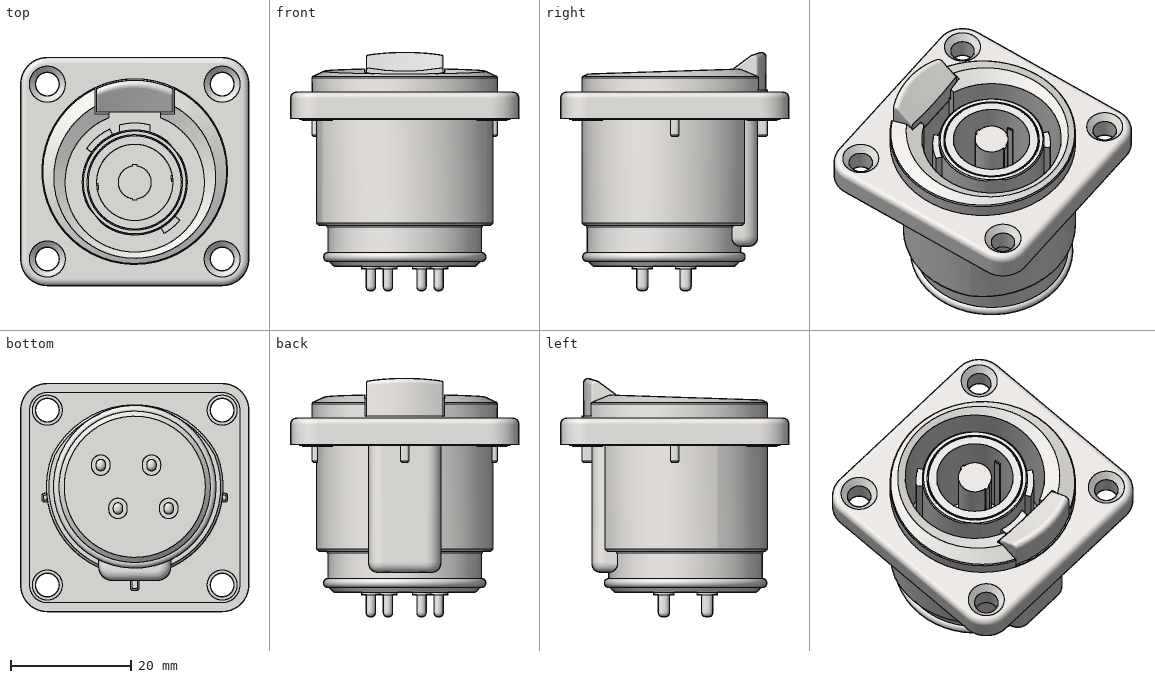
import cadquery as cq
import math


FLANGE_SIZE = 38.0
FLANGE_THICKNESS = 4.45
FLANGE_CORNER_R = 4.45
FLANGE_EDGE_R = 1.05
HOLE_PITCH = FLANGE_SIZE - 2 * FLANGE_CORNER_R
HOLE_DIA = 3.9
SINK_DIA = 6.0
SINK_ANGLE = 90
PAD_SIZE = 35.0
PAD_HEIGHT = 0.17
PAD_CORNER_R = FLANGE_CORNER_R - (FLANGE_SIZE - PAD_SIZE) / 2
RIM_DIA = 5.0
RIM_HEIGHT = 0.12

COLLAR_R = 15.45
COLLAR_WALL_TOP = 2.35
COLLAR_BREAK_WIDTH = 0.15
COLLAR_BREAK_HEIGHT = 0.25
CROWN_SLOPE = 0.475
CROWN_INNER_R = 9.0

AXIS_Y = -1.8
SOCKET_R = 11.6
SOCKET_FLOOR = -18.0
FUNNEL_Z = 2.5
FUNNEL_SLOPE = 0.5
FUNNEL_HEIGHT = 5.0

TUBE_R = 8.75
TUBE_BORE_R = 6.35
TUBE_TOP = 2.2
TUBE_EDGE = 0.2
GROOVE_OUTER_R = 7.95
GROOVE_INNER_R = 7.75
GROOVE_DEPTH = 0.5
TUBE_FLAT_DISTANCE = 8.57
TUBE_FLAT_ANGLES = (40, 220)
KEY_R = 9.8
KEY_TOP = 1.2
KEY_SPANS = ((115, 145), (-60, -40))
HOOK_R = 9.9
HOOK_WIDTH = 5.0
HOOK_TOP = -2.0

POST_R = 2.75
POST_TOP = 2.3
POST_STRIP_R = 2.95
POST_STRIP_WIDTH = 0.8
CONTACT_INNER_R = 6.1
CONTACT_WIDTH = 1.0
CONTACT_TOP = -1.85
CONTACT_ANGLE = 6

BARREL_R = 14.7
BARREL_BOTTOM = -22.2
BARREL_EDGE = 0.4
LEDGE_R = 12.95
LEDGE_BOTTOM = -22.5
REAR_R = 12.8
BEAD_R = 13.54
BEAD_TOP = -26.7
BEAD_BOTTOM = -28.2
REAR_FOOT_R = 12.6
REAR_END_R = 11.75
REAR_BOTTOM = -29.04

RIB_WIDTH = 1.45
RIB_INNER_R = 12.0
RIB_BOTTOM = -7.45
RIB_EDGE = 0.3
RIB_CORNER_R = 0.45
RIB_ANGLES = (0, 90, 180)

CHANNEL_WIDTH = 12.0
CHANNEL_INNER_Y = 9.5
CHANNEL_OUTER_Y = 13.8
CHANNEL_BOTTOM = -25.7
CHANNEL_SIDE_R = 2.3
CHANNEL_BOTTOM_R = 1.5

PIN_WIDTH = 1.58
PIN_LENGTH = 1.9
PIN_BOTTOM = -33.1
PIN_TIP_R = 0.7
PIN_SHOULDER_MARGIN = 0.75
PIN_SHOULDER_BOTTOM = -29.45
PIN_ROW_OFFSET = 3.6
PIN_INNER_X = 2.79
PIN_OUTER_X = 5.65

BUTTON_WIDTH = 12.8
BUTTON_FRONT_Y = 9.9
BUTTON_BACK_R = 15.2
BUTTON_BOTTOM = -0.3
BUTTON_FACE_Z = 3.45
BUTTON_FACE_ANGLE = 36.5
BUTTON_FACE_R = 42.0
BUTTON_BACK_EDGE_R = 0.78
BUTTON_SIDE_EDGE_R = 0.4
BUTTON_HEAD_HEIGHT = 10.0
POCKET_WIDTH = BUTTON_WIDTH + 0.5
POCKET_FRONT_Y = 9.6
POCKET_LIP_Z = 0.3
SLOT_WIDTH = 8.5


def disc(radius, bottom, top, y=AXIS_Y):
    """Cylinder along Z, by default on the socket axis."""
    return cq.Workplane("XY", origin=(0, y, bottom)).circle(radius).extrude(top - bottom)


def block(x_size, y_min, y_max, bottom, top):
    """Box centred on X = 0."""
    return cq.Workplane("XY", origin=(0, (y_min + y_max) / 2, bottom)).rect(
        x_size, y_max - y_min).extrude(top - bottom)


def radial_block(width, r_min, r_max, bottom, top):
    """Box lying on +X, reaching from r_min to r_max."""
    return cq.Workplane("XY", origin=((r_min + r_max) / 2, 0, bottom)).rect(
        r_max - r_min, width).extrude(top - bottom)


def turned(body, angle, y=AXIS_Y):
    """Turn a body about Z, then shift it along Y."""
    return body.rotate((0, 0, 0), (0, 0, 1), angle).translate((0, y, 0))


def hole_points(plane):
    return plane.rect(HOLE_PITCH, HOLE_PITCH, forConstruction=True).vertices()


def make_flange():
    flange = block(FLANGE_SIZE, -FLANGE_SIZE / 2, FLANGE_SIZE / 2, -FLANGE_THICKNESS, 0)
    flange = flange.edges("|Z").fillet(FLANGE_CORNER_R)
    flange = flange.faces(">Z").edges().fillet(FLANGE_EDGE_R)
    pad = block(PAD_SIZE, -PAD_SIZE / 2, PAD_SIZE / 2, -FLANGE_THICKNESS - PAD_HEIGHT, -FLANGE_THICKNESS)
    pad = pad.edges("|Z").fillet(PAD_CORNER_R)
    pad_face = cq.Workplane("XY", origin=(0, 0, -FLANGE_THICKNESS - PAD_HEIGHT))
    rims = hole_points(pad_face).circle(RIM_DIA / 2).extrude(-RIM_HEIGHT)
    return flange.union(pad).union(rims)


def cut_screw_holes(body):
    front_face = body.copyWorkplane(cq.Workplane("XY"))
    return hole_points(front_face).cskHole(HOLE_DIA, SINK_DIA, SINK_ANGLE)


def make_collar():
    crown_r = COLLAR_R - COLLAR_BREAK_WIDTH
    crown_z = COLLAR_WALL_TOP + COLLAR_BREAK_HEIGHT
    crown_peak = crown_z + CROWN_SLOPE * (crown_r - CROWN_INNER_R)
    profile = (
        cq.Workplane("XZ")
        .moveTo(0, -FLANGE_THICKNESS)
        .lineTo(COLLAR_R, -FLANGE_THICKNESS)
        .lineTo(COLLAR_R, COLLAR_WALL_TOP)
        .lineTo(crown_r, crown_z)
        .lineTo(CROWN_INNER_R, crown_peak)
        .lineTo(0, crown_peak)
        .close()
    )
    return profile.revolve(360, (0, 0, 0), (0, 1, 0))


def make_barrel():
    """Cylinder on the socket axis, trimmed on its -Y side by the collar's cylinder."""
    barrel = disc(BARREL_R, BARREL_BOTTOM, -FLANGE_THICKNESS)
    trim = disc(COLLAR_R, BARREL_BOTTOM, -FLANGE_THICKNESS, y=0)
    barrel = barrel.faces("<Z").chamfer(BARREL_EDGE)
    return barrel.intersect(trim.faces("<Z").chamfer(BARREL_EDGE))


def make_rear():
    """Rear plug with a rounded bead and a tapered end."""
    bead_middle = (BEAD_TOP + BEAD_BOTTOM) / 2
    profile = (
        cq.Workplane("XZ")
        .moveTo(0, BARREL_BOTTOM)
        .lineTo(LEDGE_R, BARREL_BOTTOM)
        .lineTo(LEDGE_R, LEDGE_BOTTOM)
        .lineTo(REAR_R, LEDGE_BOTTOM)
        .lineTo(REAR_R, BEAD_TOP)
        .threePointArc((BEAD_R, bead_middle), (REAR_FOOT_R, BEAD_BOTTOM))
        .lineTo(REAR_END_R, REAR_BOTTOM)
        .lineTo(0, REAR_BOTTOM)
        .close()
    )
    return profile.revolve(360, (0, 0, 0), (0, 1, 0)).translate((0, AXIS_Y, 0))


def make_channel():
    channel = block(CHANNEL_WIDTH, CHANNEL_INNER_Y, CHANNEL_OUTER_Y, CHANNEL_BOTTOM, -FLANGE_THICKNESS)
    channel = channel.edges("|Z and >Y").fillet(CHANNEL_SIDE_R)
    return channel.faces("<Z").edges().fillet(CHANNEL_BOTTOM_R)


def make_rib(angle):
    rib = radial_block(RIB_WIDTH, RIB_INNER_R, COLLAR_R, RIB_BOTTOM, -FLANGE_THICKNESS)
    rib = rib.edges("|Z and >X").fillet(RIB_CORNER_R)
    rib = rib.faces("<Z").edges().chamfer(RIB_EDGE)
    return turned(rib, angle, y=0)


def make_pin(x, y):
    shoulder_plane = cq.Workplane("XY", origin=(x, y, REAR_BOTTOM))
    pin = shoulder_plane.slot2D(PIN_LENGTH, PIN_WIDTH, 90).extrude(PIN_BOTTOM - REAR_BOTTOM)
    pin = pin.faces("<Z").edges().fillet(PIN_TIP_R)
    margin = 2 * PIN_SHOULDER_MARGIN
    shoulder = shoulder_plane.slot2D(PIN_LENGTH + margin, PIN_WIDTH + margin, 90).extrude(
        PIN_SHOULDER_BOTTOM - REAR_BOTTOM)
    return pin.union(shoulder)


def make_socket_cut():
    """Round socket with a funnel mouth, and the slot in front of the button."""
    socket = disc(SOCKET_R, SOCKET_FLOOR, FUNNEL_Z)
    mouth_r = SOCKET_R + FUNNEL_HEIGHT / FUNNEL_SLOPE
    funnel = cq.Workplane(cq.Solid.makeCone(
        SOCKET_R, mouth_r, FUNNEL_HEIGHT, pnt=cq.Vector(0, AXIS_Y, FUNNEL_Z)))
    slot = block(SLOT_WIDTH, 0, BUTTON_FRONT_Y, SOCKET_FLOOR, BUTTON_HEAD_HEIGHT)
    return socket.union(funnel).union(slot)


def make_key(start, end):
    """Wedge of a disc, between two angles about the socket axis."""
    reach = KEY_R / math.cos(math.radians(end - start) / 2)

    def corner(angle):
        return (reach * math.cos(math.radians(angle)), reach * math.sin(math.radians(angle)))

    wedge = (
        cq.Workplane("XY", origin=(0, AXIS_Y, SOCKET_FLOOR))
        .polyline([(0, 0), corner(start), corner(end)])
        .close()
        .extrude(KEY_TOP - SOCKET_FLOOR)
    )
    return wedge.intersect(disc(KEY_R, SOCKET_FLOOR, KEY_TOP))


def make_tube():
    tube = disc(TUBE_R, SOCKET_FLOOR, TUBE_TOP)
    tube = tube.faces(">Z").edges().chamfer(TUBE_EDGE)
    for angle in TUBE_FLAT_ANGLES:
        flat = radial_block(2 * TUBE_R, TUBE_FLAT_DISTANCE, SOCKET_R, SOCKET_FLOOR, TUBE_TOP)
        tube = tube.cut(turned(flat, angle))
    groove = disc(GROOVE_OUTER_R, TUBE_TOP - GROOVE_DEPTH, TUBE_TOP).cut(
        disc(GROOVE_INNER_R, TUBE_TOP - GROOVE_DEPTH, TUBE_TOP))
    tube = tube.cut(groove)
    for start, end in KEY_SPANS:
        tube = tube.union(make_key(start, end))
    hook = block(HOOK_WIDTH, AXIS_Y, AXIS_Y + HOOK_R, SOCKET_FLOOR, HOOK_TOP)
    tube = tube.union(hook.intersect(disc(HOOK_R, SOCKET_FLOOR, HOOK_TOP)))
    tube = tube.cut(disc(TUBE_BORE_R, SOCKET_FLOOR, TUBE_TOP))
    for angle in (CONTACT_ANGLE, CONTACT_ANGLE + 180):
        contact = radial_block(CONTACT_WIDTH, CONTACT_INNER_R, GROOVE_INNER_R,
                               SOCKET_FLOOR, CONTACT_TOP)
        tube = tube.union(turned(contact, angle))
    return tube


def make_post():
    strips = block(POST_STRIP_WIDTH, AXIS_Y - POST_STRIP_R, AXIS_Y + POST_STRIP_R, SOCKET_FLOOR, POST_TOP)
    return disc(POST_R, SOCKET_FLOOR, POST_TOP).union(strips)


def make_button_pocket():
    """Clearance around the button's head, with a seat for its foot behind a low lip."""
    head_space = block(POCKET_WIDTH, POCKET_FRONT_Y, FLANGE_SIZE / 2, POCKET_LIP_Z, BUTTON_HEAD_HEIGHT)
    seat = block(BUTTON_WIDTH, BUTTON_FRONT_Y, FLANGE_SIZE / 2, BUTTON_BOTTOM, POCKET_LIP_Z)
    seat = seat.intersect(disc(BUTTON_BACK_R, BUTTON_BOTTOM, POCKET_LIP_Z, y=0))
    return head_space.union(seat)


def make_housing():
    body = make_flange().union(make_collar()).union(make_barrel())
    body = body.union(make_rear()).union(make_channel())
    for angle in RIB_ANGLES:
        body = body.union(make_rib(angle))
    body = body.cut(make_socket_cut())
    body = body.cut(make_button_pocket())
    body = body.union(make_tube()).union(make_post())
    for side in (1, -1):
        row_y = AXIS_Y + side * PIN_ROW_OFFSET
        for x in (PIN_OUTER_X, -PIN_INNER_X):
            body = body.union(make_pin(side * x, row_y))
    return cut_screw_holes(body)


def make_button():
    """Push button with a rounded back and a sloping, slightly hollow face."""
    blank = block(BUTTON_WIDTH, BUTTON_FRONT_Y, FLANGE_SIZE / 2, BUTTON_BOTTOM, BUTTON_HEAD_HEIGHT)
    blank = blank.intersect(disc(BUTTON_BACK_R, BUTTON_BOTTOM, BUTTON_HEAD_HEIGHT, y=0))
    slope = math.radians(BUTTON_FACE_ANGLE)
    along = cq.Vector(0, math.cos(slope), math.sin(slope))
    normal = cq.Vector(0, -math.sin(slope), math.cos(slope))
    face_edge = cq.Vector(0, BUTTON_FRONT_Y, BUTTON_FACE_Z)
    cutter_start = face_edge + normal * BUTTON_FACE_R - along * FLANGE_SIZE
    cutter = cq.Solid.makeCylinder(BUTTON_FACE_R, 2 * FLANGE_SIZE, cutter_start, along)
    button = blank.cut(cq.Workplane(cutter))
    button = button.edges(">Z").fillet(BUTTON_BACK_EDGE_R)
    side_back_y = math.sqrt(BUTTON_BACK_R**2 - (BUTTON_WIDTH / 2)**2)
    side_edges = cq.selectors.BoxSelector(
        (-BUTTON_WIDTH, BUTTON_FRONT_Y + BUTTON_SIDE_EDGE_R, BUTTON_FACE_Z),
        (BUTTON_WIDTH, side_back_y - BUTTON_SIDE_EDGE_R, BUTTON_HEAD_HEIGHT))
    return button.edges(side_edges).edges("<X or >X").fillet(BUTTON_SIDE_EDGE_R)


housing = make_housing()
button = make_button()

result = cq.Compound.makeCompound([housing.val(), button.val()])